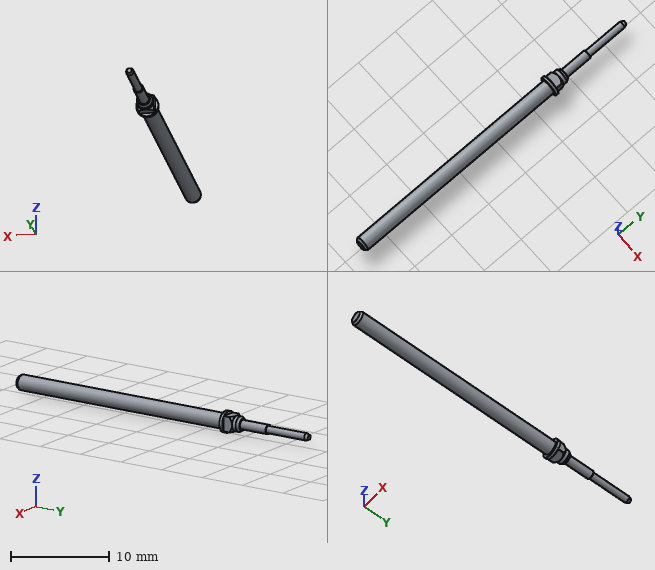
import cadquery as cq

LENGTH = 35.8

BARREL_DIAMETER = 1.65
FLANGE_DIAMETER = 2.3
NECK_DIAMETER = 1.25
STEM_DIAMETER = 1.0
TIP_DIAMETER = 0.8

TIP_LENGTH = 5.1
STEM_LENGTH = 3.15
NECK_TAPER_LENGTH = 0.32
COLLAR_LENGTH = 0.43
SQUARE_LENGTH = 1.0
FLANGE_THICKNESS = 0.35

TIP_CHAMFER_LENGTH = 0.35
TIP_CHAMFER_DEPTH = 0.15
BARREL_CHAMFER_LENGTH = 0.3
BARREL_CHAMFER_DEPTH = 0.18

tip_end = LENGTH / 2
barrel_end = -LENGTH / 2
tip_base = tip_end - TIP_LENGTH
stem_base = tip_base - STEM_LENGTH
taper_base = stem_base - NECK_TAPER_LENGTH
square_top = taper_base - COLLAR_LENGTH
square_base = square_top - SQUARE_LENGTH
flange_base = square_base - FLANGE_THICKNESS

barrel_radius = BARREL_DIAMETER / 2
flange_radius = FLANGE_DIAMETER / 2
neck_radius = NECK_DIAMETER / 2
stem_radius = STEM_DIAMETER / 2
tip_radius = TIP_DIAMETER / 2


def revolve_about_y(points):
    """Revolve a closed (radius, y) outline about the Y axis."""
    return cq.Workplane("XY").polyline(points).close().revolve(360, (0, 0, 0), (0, 1, 0))


def turned_body():
    """Barrel, flange, collar, stem and tip as one stepped shaft."""
    return revolve_about_y([
        (0, barrel_end),
        (barrel_radius - BARREL_CHAMFER_DEPTH, barrel_end),
        (barrel_radius, barrel_end + BARREL_CHAMFER_LENGTH),
        (barrel_radius, flange_base),
        (flange_radius, flange_base),
        (flange_radius, square_base),
        (barrel_radius, square_base),
        (barrel_radius, taper_base),
        (neck_radius, stem_base),
        (stem_radius, stem_base),
        (stem_radius, tip_base),
        (tip_radius, tip_base),
        (tip_radius, tip_end - TIP_CHAMFER_LENGTH),
        (tip_radius - TIP_CHAMFER_DEPTH, tip_end),
        (0, tip_end),
    ])


def square_section():
    """Square block on the flange, its corners turned to the flange and bevelled at 45 degrees."""
    block = (
        cq.Workplane("XZ", origin=(0, square_top, 0))
        .rect(BARREL_DIAMETER, BARREL_DIAMETER)
        .extrude(SQUARE_LENGTH)
    )
    bevel_length = flange_radius - barrel_radius
    turned_envelope = revolve_about_y([
        (0, square_base),
        (flange_radius, square_base),
        (flange_radius, square_top - bevel_length),
        (barrel_radius, square_top),
        (0, square_top),
    ])
    return block.intersect(turned_envelope)


result = turned_body().union(square_section())